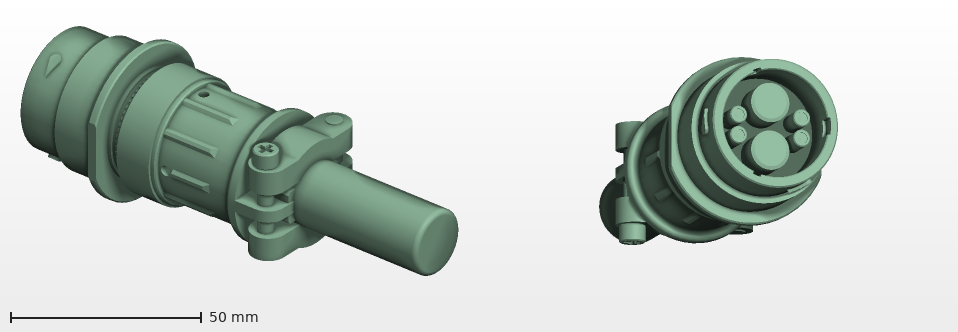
import cadquery as cq
import math


shell_step_x = 13.25
flange_front_x = 25.75
flange_back_x = 28.5
neck_start_x = 29.7
teeth_start_x = 31.15
teeth_end_x = 32.4
joint_x = 33.1
ring_end_x = 44.3
collar_end_x = 45.8
rim_start_x = 70.6
rim_end_x = 73.7
total_length = 127.15

shell_radius = 17.2
shell_edge_chamfer = 0.4
step_radius = 19.0
flange_radius = 22.3
flange_chamfer = 0.4
flange_width = 41.1
neck_rim_radius = 15.9
neck_radius = 15.2
spigot_radius = 24.8 / 2
spigot_end_x = 44.0
tooth_count = 60
tooth_gap_width = 0.8
cavity_radius = 28.7 / 2
cavity_depth = 14.0
mouth_chamfer = 0.3

key_grooves = [(0, 4.5), (110, 2.2), (-110, 2.2)]
key_groove_radius = 30.34 / 2
key_groove_length = 4.5

stud_x = 5.85
stud_round_radius = 1.6
stud_tail_length = 5.4
stud_top_radius = 18.1
stud_root_depth = 1.85
stud_angles = [58, -55, 185]

contact_front_x = 4.6
power_diameter = 10.5
power_face_diameter = 8.66
power_chamfer_length = 0.25
power_z = 6.35
signal_diameter = 4.65
signal_recess = 2.96
signal_recess_depth = 0.3
signal_chamfer = 0.3
signal_y = 8.65
signal_z = 2.7

ring_radius = 18.2
ring_chamfer = 0.35
collar_radius = 17.5
tube_radius = 16.0
rim_radius = 18.7
rim_root_fillet = 1.4
rim_edge_fillet = 1.2
bore_end_x = 60.0
vent_x = 48.2
vent_diameter = 3.0
rib_count = 10
rib_top_radius = 16.75
rib_base_width = 2.7
rib_top_width = 1.0
rib_end_x = 63.0
rib_slope_length = 1.7
rib_root_depth = 0.5
short_rib_start_x = 50.7

cable_radius = 18.7 / 2
cable_end_fillet = 1.4
clamp_width = 10.5
clamp_x = 80.75
clamp_half_width = clamp_width / 2
arch_radius = 15.2
ear_center_y = 13.4
ear_top_z = 13.4
ear_bottom_z = 6.6
tongue_end_x = clamp_x + clamp_half_width
tongue_half_height = 1.7
cheek_end_x = 85.6
cheek_outer_y = 11.0
cheek_half_height = 4.8
cheek_chamfer = 0.8

screw_x = 80.6
screw_y = 14.3
shank_diameter = 4.65
shank_projection = 0.4
head_diameter = 7.0
head_top_z = 18.1
head_chamfer = 0.35
cross_width = 1.5
cross_length = 4.6
cross_depth = 1.0


def rod(radius, start_x, end_x, y=0, z=0):
    """Cylinder along X between two stations."""
    return cq.Workplane("YZ", origin=(start_x, y, z)).circle(radius).extrude(end_x - start_x)


def post(diameter, x, y, bottom_z, top_z):
    """Cylinder along Z between two heights."""
    return cq.Workplane("XY", origin=(x, y, bottom_z)).circle(diameter / 2).extrude(top_z - bottom_z)


def block(x_range, y_range, z_range):
    """Box given by its limits on each axis."""
    size = [high - low for low, high in (x_range, y_range, z_range)]
    low_corner = (x_range[0], y_range[0], z_range[0])
    return cq.Workplane("XY").box(*size, centered=False).translate(low_corner)


def turn(shape, degrees):
    """Rotate a shape about the connector axis."""
    return shape.rotate((0, 0, 0), (1, 0, 0), degrees)


def make_flange():
    disc = rod(flange_radius, flange_front_x, flange_back_x).edges().chamfer(flange_chamfer)
    half_width = flange_width / 2
    slab = block(
        (flange_front_x, flange_back_x),
        (-half_width, half_width),
        (-flange_radius, flange_radius),
    )
    return disc.intersect(slab)


def make_stud():
    """Drop-shaped stud on the +Z side with its tail towards -Y."""
    tangent_angle = math.acos(stud_round_radius / stud_tail_length)
    tangent_x = stud_round_radius * math.sin(tangent_angle)
    tangent_y = -stud_round_radius * math.cos(tangent_angle)
    root_z = shell_radius - stud_root_depth
    drop = (
        cq.Workplane("XY", origin=(stud_x, 0, root_z))
        .moveTo(tangent_x, tangent_y)
        .threePointArc((0, stud_round_radius), (-tangent_x, tangent_y))
        .lineTo(0, -stud_tail_length)
        .close()
        .extrude(stud_top_radius - root_z)
    )
    return drop.intersect(rod(stud_top_radius, 0, shell_step_x))


def make_locking_teeth():
    band = rod(neck_rim_radius, teeth_start_x, joint_x)
    gap = block(
        (teeth_start_x, teeth_end_x),
        (-tooth_gap_width / 2, tooth_gap_width / 2),
        (neck_radius, neck_rim_radius),
    )
    for index in range(tooth_count):
        band = band.cut(turn(gap, index * 360 / tooth_count))
    return band


def make_power_chamfer(z):
    """Ring that bevels the front edge of a power pin, shallow along X and wide across."""
    profile = (
        cq.Workplane("XY", origin=(contact_front_x, 0, z))
        .moveTo(0, power_face_diameter / 2)
        .lineTo(0, power_diameter / 2)
        .lineTo(power_chamfer_length, power_diameter / 2)
        .close()
    )
    return profile.revolve(360, (0, 0, 0), (1, 0, 0))


def make_contacts():
    contacts = []
    for z in (-power_z, power_z):
        pin = rod(power_diameter / 2, contact_front_x, cavity_depth, 0, z)
        contacts.append(pin.cut(make_power_chamfer(z)))
    for y in (-signal_y, signal_y):
        for z in (-signal_z, signal_z):
            socket = rod(signal_diameter / 2, contact_front_x, cavity_depth, y, z)
            socket = socket.faces("<X").chamfer(signal_chamfer)
            recess_end_x = contact_front_x + signal_recess_depth
            contacts.append(socket.cut(rod(signal_recess / 2, contact_front_x, recess_end_x, y, z)))
    return contacts


def make_connector():
    body = rod(shell_radius, 0, shell_step_x).faces("<X").chamfer(shell_edge_chamfer)
    body = body.union(rod(step_radius, shell_step_x, flange_front_x))
    body = body.union(make_flange())
    body = body.union(rod(neck_rim_radius, flange_back_x, neck_start_x))
    body = body.union(rod(neck_radius, neck_start_x, joint_x))
    body = body.union(make_locking_teeth())
    body = body.union(rod(spigot_radius, joint_x, spigot_end_x))
    for angle in stud_angles:
        body = body.union(turn(make_stud(), 90 - angle))
    body = body.cut(rod(cavity_radius, 0, cavity_depth))
    body = body.faces("<X").edges(cq.selectors.RadiusNthSelector(0)).chamfer(mouth_chamfer)
    groove_rod = rod(key_groove_radius, 0, key_groove_length)
    for angle, width in key_grooves:
        slot = block((0, key_groove_length), (-key_groove_radius, 0), (-width / 2, width / 2))
        body = body.cut(turn(slot, -angle).intersect(groove_rod))
    for contact in make_contacts():
        body = body.union(contact)
    return body


def make_tube():
    """Ring, collar, tube and end rim turned about X."""
    root_start_x = rim_start_x - rim_root_fillet
    root_top = tube_radius + rim_root_fillet
    edge_bottom = rim_radius - rim_edge_fillet
    diagonal = math.sqrt(0.5)
    profile = (
        cq.Workplane("XY")
        .moveTo(joint_x, 0)
        .lineTo(joint_x, ring_radius - ring_chamfer)
        .lineTo(joint_x + ring_chamfer, ring_radius)
        .lineTo(ring_end_x, ring_radius)
        .lineTo(ring_end_x, collar_radius)
        .lineTo(collar_end_x - ring_chamfer, collar_radius)
        .lineTo(collar_end_x, collar_radius - ring_chamfer)
        .lineTo(collar_end_x, tube_radius)
        .lineTo(root_start_x, tube_radius)
        .threePointArc(
            (root_start_x + rim_root_fillet * diagonal, root_top - rim_root_fillet * diagonal),
            (rim_start_x, root_top),
        )
        .lineTo(rim_start_x, edge_bottom)
        .threePointArc(
            (
                rim_start_x + rim_edge_fillet * (1 - diagonal),
                edge_bottom + rim_edge_fillet * diagonal,
            ),
            (rim_start_x + rim_edge_fillet, rim_radius),
        )
        .lineTo(rim_end_x, rim_radius)
        .lineTo(rim_end_x, 0)
        .close()
    )
    return profile.revolve(360, (0, 0, 0), (1, 0, 0))


def make_rib(start_x):
    """Trapezoid rib on the +Z side with a sloping rear end."""
    root_z = tube_radius - rib_root_depth
    slope = (rib_base_width - rib_top_width) / (2 * (rib_top_radius - tube_radius))
    root_half_width = rib_base_width / 2 + slope * rib_root_depth
    top_half_width = rib_top_width / 2
    section = (
        cq.Workplane("YZ", origin=(start_x, 0, 0))
        .moveTo(-root_half_width, root_z)
        .lineTo(root_half_width, root_z)
        .lineTo(top_half_width, rib_top_radius)
        .lineTo(-top_half_width, rib_top_radius)
        .close()
        .extrude(rib_end_x - start_x)
    )
    slope_wedge = (
        cq.Workplane("XZ", origin=(0, rib_base_width, 0))
        .moveTo(rib_end_x - rib_slope_length, rib_top_radius)
        .lineTo(rib_end_x, rib_top_radius)
        .lineTo(rib_end_x, tube_radius)
        .close()
        .extrude(2 * rib_base_width)
    )
    return section.cut(slope_wedge)


def make_saddle():
    """Upper clamp half: an arch over the cable with an ear on each side."""
    start_x = clamp_x - clamp_half_width
    end_x = clamp_x + clamp_half_width
    arch_half_width = math.sqrt(arch_radius**2 - ear_top_z**2)
    arch = rod(arch_radius, start_x, end_x).intersect(
        block((start_x, end_x), (-arch_half_width, arch_half_width), (ear_bottom_z, arch_radius))
    )
    ears = (
        cq.Workplane("XY", origin=(clamp_x, 0, ear_bottom_z))
        .slot2D(2 * ear_center_y + clamp_width, clamp_width, 90)
        .extrude(ear_top_z - ear_bottom_z)
    )
    return arch.union(ears)


def make_clamp_base():
    """Tongue and cheeks reaching back from the rim, between the clamp halves."""
    half_width = ear_center_y + clamp_half_width
    tongue = block(
        (rim_end_x, tongue_end_x),
        (-half_width, half_width),
        (-tongue_half_height, tongue_half_height),
    )
    tongue = tongue.edges("|Z and >X").fillet(clamp_half_width)
    cheeks = block(
        (rim_end_x, cheek_end_x),
        (-cheek_outer_y, cheek_outer_y),
        (-cheek_half_height, cheek_half_height),
    )
    return tongue.union(cheeks.edges("|X").chamfer(cheek_chamfer))


def make_screw():
    """Clamp screw on the -Y side with its cross-slotted head up."""
    shank = post(shank_diameter, screw_x, -screw_y, -ear_top_z - shank_projection, ear_top_z)
    head = post(head_diameter, screw_x, -screw_y, ear_top_z, head_top_z).edges().chamfer(head_chamfer)
    cross = (
        cq.Workplane("XY", origin=(screw_x, -screw_y, head_top_z - cross_depth))
        .rect(cross_length, cross_width)
        .extrude(cross_depth)
    )
    cross = cross.union(cross.rotate((screw_x, -screw_y, 0), (screw_x, -screw_y, 1), 90))
    return shank.union(head.cut(cross))


def make_backshell():
    body = make_tube()
    pitch = 360 / rib_count
    for index in range(rib_count):
        beside_vent = index % (rib_count // 2) == 0
        start_x = short_rib_start_x if beside_vent else collar_end_x
        body = body.union(turn(make_rib(start_x), 90 + index * pitch))
    body = body.cut(rod(spigot_radius, joint_x, bore_end_x))
    vent = post(vent_diameter, vent_x, 0, -ring_radius, ring_radius)
    body = body.cut(vent).cut(turn(vent, 90))
    cable = rod(cable_radius, rim_end_x, total_length).faces(">X").edges().fillet(cable_end_fillet)
    body = body.union(cable).union(make_clamp_base())
    for angle in (0, 180):
        body = body.union(turn(make_saddle(), angle)).union(turn(make_screw(), angle))
    return body


connector = make_connector()
backshell = make_backshell()
result = cq.Compound.makeCompound([connector.val(), backshell.val()])